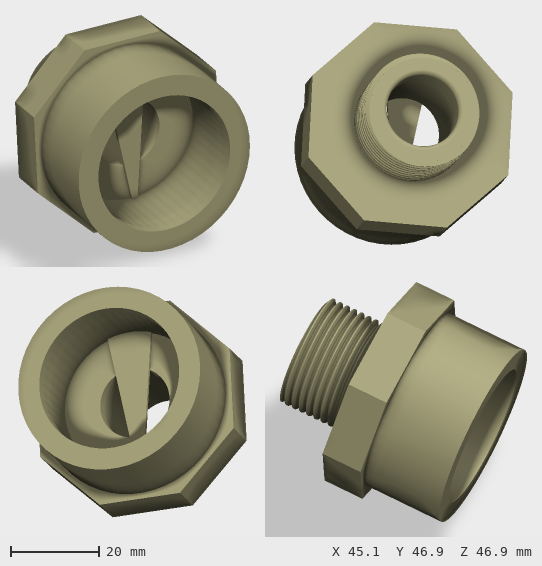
import cadquery as cq
import math

spigot_length = 16.4
flange_thickness = 9.65
collar_length = 19.05
flange_end = spigot_length + flange_thickness
total_length = flange_end + collar_length

bore_diameter = 16.45
bore_lip_radius = 1.05
spigot_diameter = 24.05
socket_diameter = 33.25
collar_diameter = 43.25

flange_height = 46.9
flange_sides = 8
flange_turn = 2.9
half_side_angle = 180 / flange_sides
flange_corner_radius = flange_height / 2 / math.cos(math.radians(half_side_angle - flange_turn))

thread_diameter = 26.35
thread_turns = 9
thread_pitch = spigot_length / thread_turns
thread_base_width = 1.5
thread_crest_width = 0.3
thread_crest_at_top = 1.05
thread_spare_turns = 1
thread_root_overlap = 0.15

bar_thickness = 0.95
bar_left_offset = 3.2
bar_left_slope = 0.058
bar_right_offset = -2.75
bar_right_slope = -0.22


def cylinder(diameter, start, length):
    """Solid cylinder along X."""
    return cq.Workplane("YZ", origin=(start, 0, 0)).circle(diameter / 2).extrude(length)


def make_flange():
    """Octagonal prism along X."""
    corners = []
    for side in range(flange_sides):
        angle = math.radians(half_side_angle + flange_turn + side * 360 / flange_sides)
        corners.append((flange_corner_radius * math.cos(angle), flange_corner_radius * math.sin(angle)))
    return cq.Workplane("YZ", origin=(spigot_length, 0, 0)).polyline(corners).close().extrude(flange_thickness)


def make_fitting():
    """Spigot, flange and collar with a rounded through bore and a socket in the collar."""
    spigot = cylinder(spigot_diameter, 0, spigot_length)
    collar = cylinder(collar_diameter, flange_end, collar_length)
    body = spigot.union(make_flange()).union(collar)
    body = body.cut(cylinder(bore_diameter, 0, total_length))
    body = body.cut(cylinder(socket_diameter, flange_end, collar_length))
    bore_lip = cq.selectors.RadiusNthSelector(0)
    return body.faces("<X").edges(bore_lip).fillet(bore_lip_radius)


def make_thread():
    """Helical ridge wound on the spigot and trimmed flush with both its ends."""
    spare_length = thread_spare_turns * thread_pitch
    wound_length = spigot_length + 2 * spare_length
    core_radius = spigot_diameter / 2
    root_radius = core_radius - thread_root_overlap
    crest_radius = thread_diameter / 2
    flank_slope = (thread_base_width - thread_crest_width) / 2 / (crest_radius - core_radius)
    half_root = thread_base_width / 2 + thread_root_overlap * flank_slope
    half_crest = thread_crest_width / 2
    profile = [
        (root_radius, -half_root),
        (crest_radius, -half_crest),
        (crest_radius, half_crest),
        (root_radius, half_root),
    ]
    helix = cq.Wire.makeHelix(thread_pitch, wound_length, core_radius)
    ridge = cq.Workplane("XZ").polyline(profile).close().sweep(cq.Workplane(helix), isFrenet=True)

    ridge = ridge.rotate((0, 0, 0), (0, 1, 0), 90).rotate((0, 0, 0), (1, 0, 0), 180)
    ridge = ridge.translate((thread_crest_at_top - spare_length, 0, 0))

    trim_width = 2 * thread_diameter
    trim_block = cq.Workplane("YZ").rect(trim_width, trim_width).extrude(spigot_length)
    core = cylinder(spigot_diameter, -spare_length, wound_length)
    return ridge.intersect(trim_block).cut(core)


def make_cross_bar():
    """Tapered plate spanning the socket against its floor."""
    reach = socket_diameter / 2
    outline = [
        (bar_left_offset + bar_left_slope * reach, reach),
        (bar_left_offset - bar_left_slope * reach, -reach),
        (bar_right_offset - bar_right_slope * reach, -reach),
        (bar_right_offset + bar_right_slope * reach, reach),
    ]
    plate = cq.Workplane("YZ", origin=(flange_end, 0, 0)).polyline(outline).close().extrude(bar_thickness)
    return plate.intersect(cylinder(socket_diameter, flange_end, bar_thickness))


fitting = make_fitting()
thread = make_thread()
cross_bar = make_cross_bar()

result = cq.Compound.makeCompound([fitting.val(), thread.solids().val(), cross_bar.solids().val()])